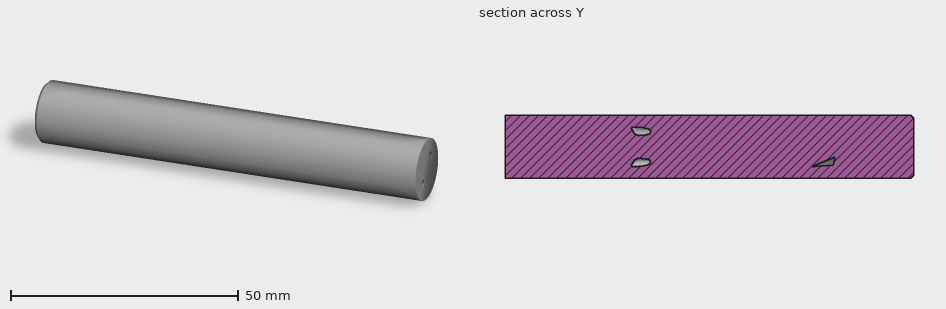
import cadquery as cq
import math

rod_length = 90.0
rod_diameter = 14.0
chamfer = 0.7

channel_diameter = 1.8
channel_circle_radius = 3.4
channel_start_angle = 18.0
channel_count = 2
helix_pitch = 76.5
end_overrun = 1.8


def make_rod():
    """Plain cylinder standing on its chamfered end."""
    rod = cq.Workplane("XY").circle(rod_diameter / 2).extrude(rod_length)
    return rod.faces("<Z").edges().chamfer(chamfer)


def make_channel():
    """Helical cutter that passes through angle zero at the chamfered end face."""
    cutter_length = rod_length + 2 * end_overrun
    path = cq.Wire.makeHelix(helix_pitch, cutter_length, channel_circle_radius)
    lead_angle = math.atan2(helix_pitch, 2 * math.pi * channel_circle_radius)
    tangent = (0, math.cos(lead_angle), math.sin(lead_angle))
    section_plane = cq.Plane(origin=(channel_circle_radius, 0, 0), xDir=(1, 0, 0), normal=tangent)
    cutter = (
        cq.Workplane(section_plane)
        .circle(channel_diameter / 2)
        .sweep(cq.Workplane(obj=path), isFrenet=True)
    )
    overrun_turn = 360 * end_overrun / helix_pitch
    return cutter.translate((0, 0, -end_overrun)).rotate((0, 0, 0), (0, 0, 1), -overrun_turn)


def lay_along_x(body):
    """Turn local X, Y, Z into global Y, Z, X."""
    upright = cq.Plane(origin=(-rod_length / 2, 0, 0), xDir=(0, 1, 0), normal=(1, 0, 0))
    return cq.Workplane(obj=body.val().moved(cq.Location(upright)))


rod = make_rod()
channel = make_channel()
for index in range(channel_count):
    angle = -channel_start_angle + index * 360 / channel_count
    rod = rod.cut(channel.rotate((0, 0, 0), (0, 0, 1), angle))

result = lay_along_x(rod)